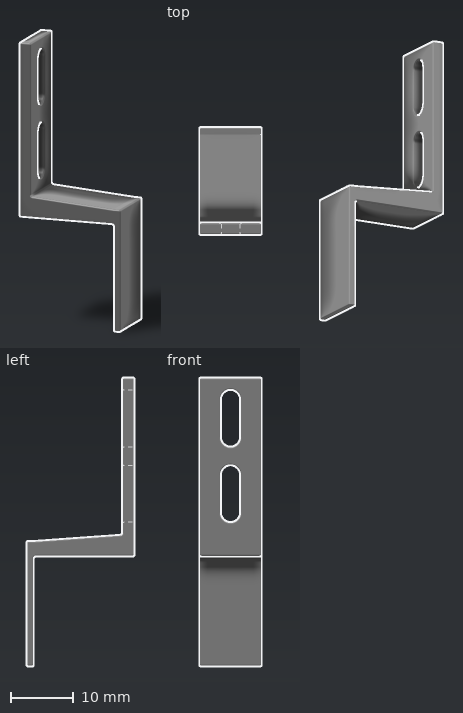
import cadquery as cq

width = 10.0
depth = 17.2
height = 46.0

plate_thickness = 2.0
leg_thickness = 1.2

shelf_bottom = 17.5
leg_top = 20.0
shelf_root = 21.0

edge_radius = 0.3

slot_width = 3.0
slot_length = 9.0
slot_pitch = 12.0
upper_slot_z = 39.5
slot_count = 2

leg_inner_y = depth - leg_thickness


def bracket_body():
    """Z-shaped profile in the YZ plane, extruded symmetrically along X."""
    outline = [
        (0, shelf_bottom),
        (0, height),
        (plate_thickness, height),
        (plate_thickness, shelf_root),
        (leg_inner_y, leg_top),
        (depth, leg_top),
        (depth, 0),
        (leg_inner_y, 0),
        (leg_inner_y, shelf_bottom),
    ]
    return cq.Workplane("YZ").polyline(outline).close().extrude(width / 2, both=True)


def plate_slots():
    """Vertical through slots in the plate, stacked downwards from the upper one."""
    centers = [(0, upper_slot_z - index * slot_pitch) for index in range(slot_count)]
    return (
        cq.Workplane("XZ")
        .pushPoints(centers)
        .slot2D(slot_length, slot_width, 90)
        .extrude(-plate_thickness)
    )


def round_slot_rims(bracket):
    """Round the slot rims on both faces of the plate."""
    lowest_slot_z = upper_slot_z - (slot_count - 1) * slot_pitch
    slot_region = cq.selectors.BoxSelector(
        (-slot_width, -plate_thickness, lowest_slot_z - slot_length / 2),
        (slot_width, 2 * plate_thickness, upper_slot_z + slot_length / 2),
    )
    rim_edges = bracket.edges(slot_region).edges("#Y")
    return rim_edges.fillet(edge_radius)


rounded_body = bracket_body().edges().fillet(edge_radius)
result = round_slot_rims(rounded_body.cut(plate_slots()))